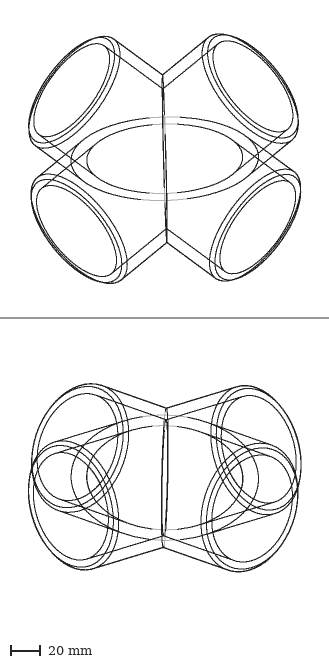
import cadquery as cq

length = 172.0
outer_diameter = 89.0
bore_diameter = 74.0
end_chamfer = 2.5


def along_x_and_y(diameter, chamfer=0):
    """Two centred cylinders, one along X and one along Y, fused together."""
    cross = None
    for plane in ("YZ", "XZ"):
        bar = cq.Workplane(plane).circle(diameter / 2).extrude(length / 2, both=True)
        if chamfer:
            bar = bar.edges("%CIRCLE").chamfer(chamfer)
        cross = bar if cross is None else cross.union(bar)
    return cross


outside = along_x_and_y(outer_diameter, end_chamfer)
bores = along_x_and_y(bore_diameter)
result = outside.cut(bores)